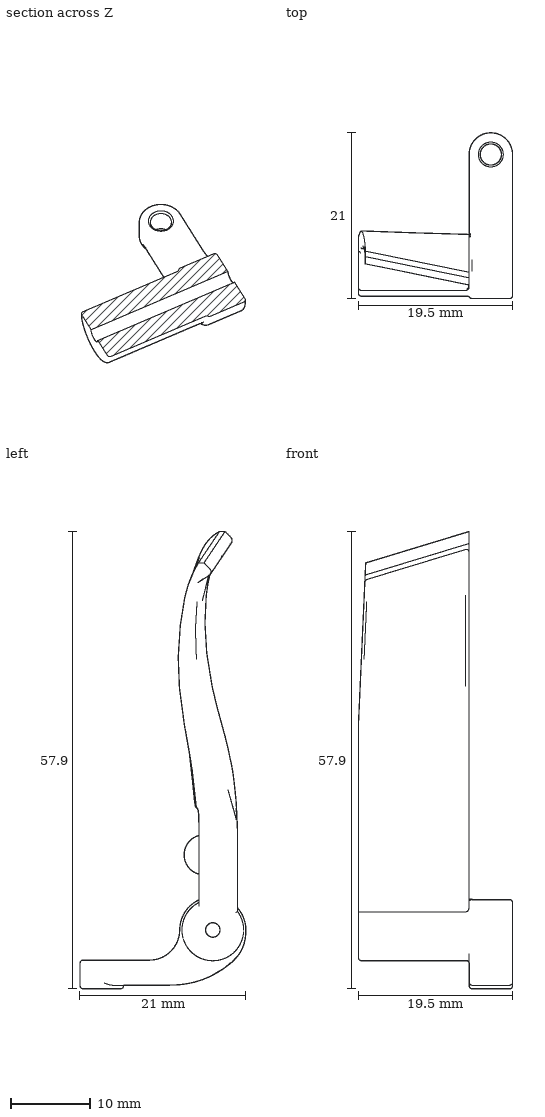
import cadquery as cq
import math


lever_width = 14.0
lever_front = -3.15
lever_back = 1.75
straight_top = 12.2
edge_round = 0.4
barrel_radius = 3.9
pivot_hole_diameter = 1.8

free_side_front = [(-2.4, 16.0), (-0.85, 21.6), (1.3, 28.6), (2.2, 35.0), (2.1, 41.5)]
arm_side_front = [(-3.0, 16.0), (-2.3, 21.6), (-0.5, 28.6), (0.7, 35.0), (0.85, 41.5), (0.5, 44.2)]
free_side_back = [(2.93, 44.2), (3.97, 39.9), (4.4, 33.5), (3.62, 26.0), (2.45, 19.0), (2.05, 15.5)]
arm_side_back = [(1.9, 46.9), (2.8, 44.0), (3.95, 34.5), (3.4, 26.0), (2.6, 19.0), (2.1, 15.5)]

free_side_front_end = (-0.35, 1.0)
arm_side_front_end = (-0.8, 1.0)
free_side_back_start = (0.5, -1.0)
arm_side_back_start = (1.0, -0.5)

lip_root = (1.55, 44.0)
lip_chin = (0.55, 44.62)
lip_nose = (0.39, 45.01)
lip_brow = (0.55, 45.4)
lip_crest = (1.3, 46.15)
lip_heel = (2.0, 46.15)
lip_shift = (-2.85, 4.25)

taper_start = 26.0
taper_slope = 0.045

dome_radius = 2.55
dome_center = (lever_width / 2, 1.1, 9.5)

arm_width = 5.52
hub_fillet = 0.3
boss_radius = 4.2
boss_flat_height = 3.84
boss_flat_blend = 1.2
arm_top = -3.8
arm_bottom = -7.0
inner_bend_radius = -arm_top
outer_bend_end = 5.6
outer_bend_middle = (-1.5, -4.8)
tab_radius = arm_width / 2
arm_center_x = lever_width + arm_width / 2
tab_reach = 16.8
tab_center_y = tab_reach - tab_radius
pad_bottom = -7.46
tab_hole_diameter = 2.65
tab_hole_chamfer = 0.25

tool_margin = 1.0


def side_outline(x, front_points, front_end, back_points, back_start, shift):
    """Closed outline of the blade in the plane at x, with the lip moved by shift."""
    root, chin, nose, brow, crest, heel = [
        (y + shift[0], z + shift[1])
        for y, z in (lip_root, lip_chin, lip_nose, lip_brow, lip_crest, lip_heel)
    ]
    return (
        cq.Workplane("YZ", origin=(x, 0, 0))
        .moveTo(lever_back, 0)
        .lineTo(lever_front, 0)
        .lineTo(lever_front, straight_top)
        .spline(front_points + [root], tangents=[(0, 1), front_end], includeCurrent=True)
        .lineTo(*chin)
        .threePointArc(nose, brow)
        .lineTo(*crest)
        .lineTo(*heel)
        .spline(
            back_points + [(lever_back, straight_top)],
            tangents=[back_start, (0, -1)],
            includeCurrent=True,
        )
        .close()
        .val()
    )


def make_blade():
    free_side = side_outline(
        0, free_side_front, free_side_front_end, free_side_back, free_side_back_start, (0, 0)
    )
    arm_side = side_outline(
        lever_width,
        arm_side_front,
        arm_side_front_end,
        arm_side_back,
        arm_side_back_start,
        lip_shift,
    )
    blade = cq.Workplane(cq.Solid.makeLoft([free_side, arm_side], True))
    taper_top = lip_heel[1] + lip_shift[1] + tool_margin
    taper_depth = (taper_top - taper_start) * taper_slope
    side_taper = (
        cq.Workplane("XZ")
        .moveTo(0, taper_start)
        .lineTo(taper_depth, taper_top)
        .lineTo(-tool_margin, taper_top)
        .lineTo(-tool_margin, taper_start)
        .close()
        .extrude(tab_reach, both=True)
    )
    straight_front_edges = cq.selectors.BoxSelector(
        (-tool_margin, lever_front - tool_margin, 0),
        (lever_width + tool_margin, 0, straight_top),
    )
    return blade.cut(side_taper).edges("|Z").edges(straight_front_edges).fillet(edge_round)


def make_barrel():
    return (
        cq.Workplane("YZ")
        .circle(barrel_radius)
        .extrude(lever_width + edge_round)
        .faces("<X")
        .edges()
        .fillet(edge_round)
    )


def make_dome():
    return cq.Workplane("XY", origin=dome_center).sphere(dome_radius)


def make_arm():
    flat_half_width = math.sqrt(boss_radius**2 - boss_flat_height**2)
    arc_middle = boss_radius * math.sqrt(0.5)
    bent_bar = (
        cq.Workplane("YZ", origin=(lever_width, 0, 0))
        .moveTo(tab_reach, arm_bottom)
        .lineTo(tab_reach, arm_top)
        .lineTo(boss_radius + inner_bend_radius, arm_top)
        .radiusArc((boss_radius, 0), inner_bend_radius)
        .threePointArc((arc_middle, arc_middle), (flat_half_width, boss_flat_height))
        .lineTo(-flat_half_width, boss_flat_height)
        .threePointArc((-arc_middle, arc_middle), (-boss_radius, 0))
        .spline(
            [outer_bend_middle, (outer_bend_end, arm_bottom)],
            tangents=[(0, -1), (1, 0)],
            includeCurrent=True,
        )
        .close()
        .extrude(arm_width)
        .edges("|X")
        .edges(">Z")
        .fillet(boss_flat_blend)
    )
    arm = bent_bar.cut(make_tab_trimmer()).faces("<X or >X").edges().fillet(edge_round)
    pad = (
        cq.Workplane("XY", origin=(arm_center_x, tab_center_y, pad_bottom))
        .circle(tab_radius)
        .extrude(arm_top - edge_round - pad_bottom)
        .faces("<Z")
        .edges()
        .fillet(edge_round)
    )
    return arm.union(pad)


def make_tab_trimmer():
    """Tool that rounds the tab's end: a block with the tab's full round left out of it."""
    height = boss_flat_height - pad_bottom
    base = cq.Workplane("XY", origin=(arm_center_x, tab_center_y, pad_bottom))
    block = base.center(0, arm_width / 2).rect(2 * arm_width, arm_width).extrude(height)
    return block.cut(base.circle(tab_radius).extrude(height))


def make_pivot_hole():
    return cq.Workplane("YZ").circle(pivot_hole_diameter / 2).extrude(lever_width + arm_width)


def make_tab_hole():
    """Tool for the tab hole, widened by a chamfer at its top."""
    hole_radius = tab_hole_diameter / 2
    hole = (
        cq.Workplane("XY", origin=(arm_center_x, tab_center_y, pad_bottom))
        .circle(hole_radius)
        .extrude(arm_top - pad_bottom)
    )
    chamfer = cq.Workplane(
        cq.Solid.makeCone(
            hole_radius,
            hole_radius + tab_hole_chamfer,
            tab_hole_chamfer,
            pnt=cq.Vector(arm_center_x, tab_center_y, arm_top - tab_hole_chamfer),
        )
    )
    return hole.union(chamfer)


def make_hub():
    """Barrel and arm joined, with a fillet in the corner under the barrel."""
    corner_edges = cq.selectors.BoxSelector(
        (lever_width - edge_round / 2, -barrel_radius / 2, -barrel_radius),
        (lever_width + edge_round / 2, barrel_radius / 2, -barrel_radius / 3),
    )
    return make_barrel().union(make_arm()).edges(corner_edges).fillet(hub_fillet)


body = make_hub().union(make_blade()).union(make_dome())
result = body.cut(make_pivot_hole()).cut(make_tab_hole())